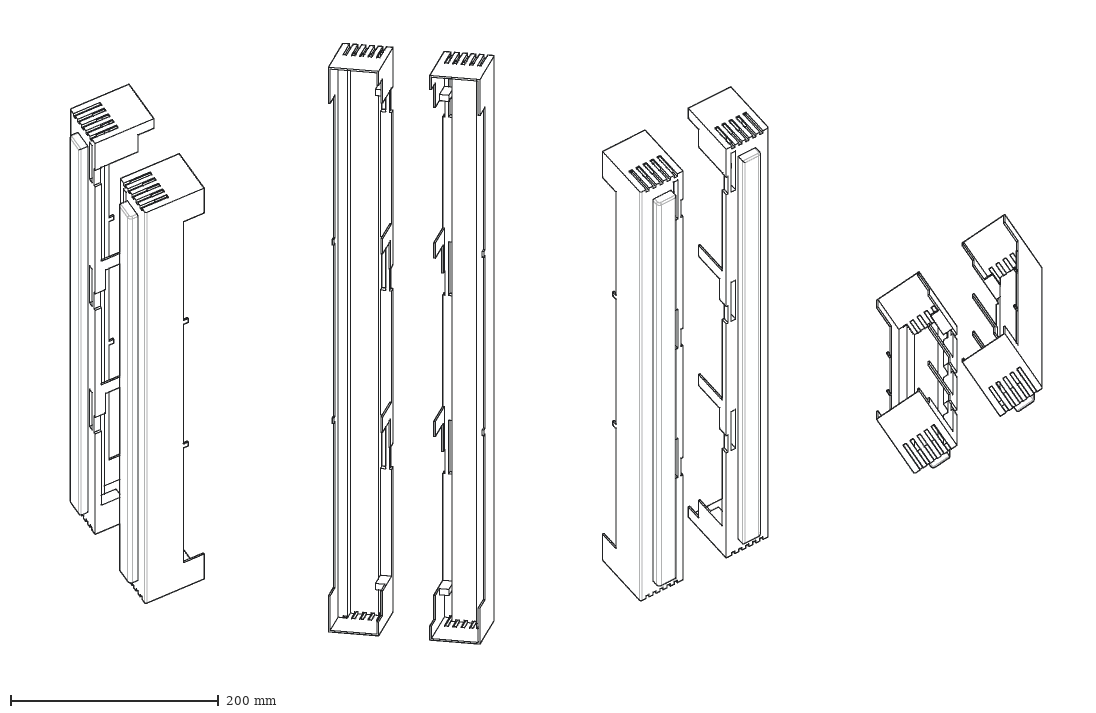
import cadquery as cq


PAIR_WIDTH = 150.0
RAIL_WIDTH = 50.0
HEIGHT = 585.0
DEPTH = 74.5

STRIP_PROUD = 9.5
STRIP_WIDTH = 21.0
STRIP_INSET = 14.5
STRIP_END_GAP = 19.0
STRIP_OUTER_ROUND = 3.5
STRIP_EDGE_ROUND = 2.0

WALL = 2.0
FRONT_Y = STRIP_PROUD
SPINE_BACK_Y = 26.0
SIDE_BACK_Y = 51.5
RIB_BACK_Y = 57.0
SIDE_RIDGE = 11.0
LIP_DEPTH = 7.0
LEG_DEPTH = 11.5
CORNER_ROUND = 2.0

BLOCK_HEIGHT = 37.5
INNER_WALL_HEIGHT = 40.0
REAR_CHEEK_HEIGHT = 14.5
LEDGE_HEIGHT = 6.5

SLOT_COUNT = 3
SLOT_PITCH = 185.0
FIRST_SLOT_DROP = 9.5
SLOT_LENGTH = 55.5
SLOT_WIDTH = 5.0
SLOT_INSET = 6.0
NOTCH_LENGTH = 24.5
NOTCH_DEPTH = 2.5
RIB_HEIGHT = 16.0
RIB_OVERLAP = 2.0
TAB_HEIGHT = 6.0
TAB_LENGTH = 11.5

VENT_COUNT = 5
VENT_PITCH = 8.0
VENT_WIDTH = 3.5
VENT_BACK_Y = 38.5
VENT_DEPTH = 3.5

LIP_BACK_Y = FRONT_Y + LIP_DEPTH
INNER_X = RAIL_WIDTH - WALL
SLOT_OUTER_X = RAIL_WIDTH - SLOT_INSET - SLOT_WIDTH
SLOT_TOPS = [HEIGHT - FIRST_SLOT_DROP - i * SLOT_PITCH for i in range(SLOT_COUNT)]


def block(x0, x1, y0, y1, z0, z1):
    """Box between opposite corners."""
    return cq.Workplane("XY").box(x1 - x0, y1 - y0, z1 - z0, centered=False).translate((x0, y0, z0))


def front_and_side():
    """Thick spine behind the front face, thin lip at the inner edge and the ridged outer side wall."""
    spine = block(0, SLOT_OUTER_X, FRONT_Y, SPINE_BACK_Y, 0, HEIGHT)
    lip = block(0, RAIL_WIDTH, FRONT_Y, LIP_BACK_Y, 0, HEIGHT)
    ridge = block(0, SIDE_RIDGE, FRONT_Y, VENT_BACK_Y, 0, HEIGHT)
    side = block(0, WALL, FRONT_Y, SIDE_BACK_Y, 0, HEIGHT)
    channel = spine.union(lip).union(ridge).union(side)
    return channel.edges("|Z and <X and <Y").fillet(CORNER_ROUND)


def strip():
    """Raised strip along the front, rounded on its front edges, most on the outer one."""
    bar = block(STRIP_INSET, STRIP_INSET + STRIP_WIDTH, 0, LIP_BACK_Y, STRIP_END_GAP, HEIGHT - STRIP_END_GAP)
    bar = bar.edges("|Z and <X and <Y").fillet(STRIP_OUTER_ROUND)
    return bar.faces("<Y").edges(">X or |X").fillet(STRIP_EDGE_ROUND)


def top_block():
    """Hollow block open to the back: end plate, thin cheeks and a ledge at the foot of the inner cheek."""
    plate_bottom = HEIGHT - WALL
    wall_bottom = HEIGHT - INNER_WALL_HEIGHT
    plate = block(0, RAIL_WIDTH, LIP_BACK_Y, DEPTH, plate_bottom, HEIGHT)
    outer_cheek = block(0, WALL, LIP_BACK_Y, DEPTH, HEIGHT - BLOCK_HEIGHT, plate_bottom)
    inner_cheek = block(INNER_X, RAIL_WIDTH, LIP_BACK_Y, RIB_BACK_Y, wall_bottom, plate_bottom)
    rear_cheek = block(INNER_X, RAIL_WIDTH, RIB_BACK_Y, DEPTH, HEIGHT - REAR_CHEEK_HEIGHT, plate_bottom)
    ledge = block(SLOT_OUTER_X, RAIL_WIDTH, LIP_BACK_Y, VENT_BACK_Y, wall_bottom, wall_bottom + LEDGE_HEIGHT)
    return plate.union(outer_cheek).union(inner_cheek).union(rear_cheek).union(ledge)


def bottom_block():
    """Mirror image of the top block about mid-height."""
    return top_block().mirror("XY").translate((0, 0, HEIGHT))


def rib(slot_top):
    """Thin inner rib above a slot, with a shallow leg down to the notch."""
    bottom = slot_top - RIB_OVERLAP
    leg_bottom = slot_top - SLOT_LENGTH + NOTCH_LENGTH
    web = block(INNER_X, RAIL_WIDTH, LIP_BACK_Y, RIB_BACK_Y, bottom, bottom + RIB_HEIGHT)
    leg = block(INNER_X, RAIL_WIDTH, LIP_BACK_Y, FRONT_Y + LEG_DEPTH, leg_bottom, bottom)
    return web.union(leg)


def tab(slot_top):
    """Small tab behind the outer side wall, centred on the rib opposite."""
    centre = slot_top - RIB_OVERLAP + RIB_HEIGHT / 2
    bottom = centre - TAB_HEIGHT / 2
    return block(0, WALL, RIB_BACK_Y - TAB_LENGTH, RIB_BACK_Y, bottom, bottom + TAB_HEIGHT)


def slot_and_notch(slot_top):
    """Cutter for one front slot and the shallow notch beside its lower half."""
    bottom = slot_top - SLOT_LENGTH
    slot_inner_x = RAIL_WIDTH - SLOT_INSET
    slot = block(SLOT_OUTER_X, slot_inner_x, 0, LIP_BACK_Y, bottom, slot_top)
    notch = block(RAIL_WIDTH - NOTCH_DEPTH, RAIL_WIDTH, 0, SPINE_BACK_Y, bottom, bottom + NOTCH_LENGTH)
    return slot.union(notch)


def vents():
    """Cutter for the row of slits in both ends, each running out through the front face."""
    cutter = cq.Workplane("XY")
    for i in range(VENT_COUNT):
        centre = RAIL_WIDTH / 2 + (i - (VENT_COUNT - 1) / 2) * VENT_PITCH
        for z0 in (0, HEIGHT - VENT_DEPTH):
            slit = block(centre - VENT_WIDTH / 2, centre + VENT_WIDTH / 2, 0, VENT_BACK_Y,
                         z0, z0 + VENT_DEPTH)
            cutter = cutter.union(slit)
    return cutter


def rail(side):
    """One rail; side -1 is on the left of the pair and +1 its mirror image on the right."""
    body = front_and_side().union(strip()).union(top_block()).union(bottom_block())
    for slot_top in SLOT_TOPS[1:]:
        body = body.union(rib(slot_top)).union(tab(slot_top))
    for slot_top in SLOT_TOPS:
        body = body.cut(slot_and_notch(slot_top))
    body = body.cut(vents()).translate((-PAIR_WIDTH / 2, 0, 0))
    return body if side < 0 else body.mirror("YZ")


rails = [rail(side) for side in (-1, 1)]

result = cq.Compound.makeCompound([body.val() for body in rails])